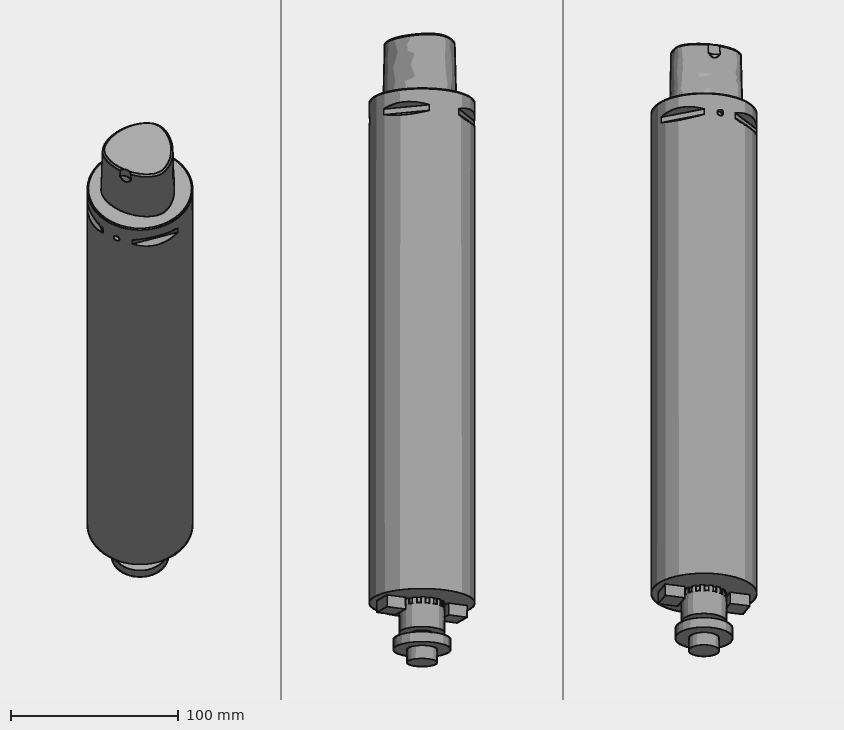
import cadquery as cq
import math

nut_top = 8.0
flange_top = 14.2
neck_top = 18.5
body_bottom = 37.0
body_top = 347.0
total_height = 384.0

nut_diameter = 18.0
flange_diameter = 34.0
neck_diameter = 12.0
boss_diameter = 27.0
body_diameter = 63.0
body_chamfer = 0.8

shank_base_radius = 22.0
shank_lobe_height = 1.4
radius_taper = 1 / 40
shank_chamfer = 1.0

key_span = 53.0
key_clearance = 0.8
key_width = 14.0
key_height = 7.3
notch_count = 16
notch_width = 2.5
notch_depth = 1.0
notch_height = 3.5

groove_height = 335.0
groove_floor_distance = 28.0
groove_floor_width = 3.5
groove_mouth_width = 8.0
index_hole_diameter = 4.0
index_hole_depth = 3.0

pocket_radius = 5.5
pocket_axis_y = -23.5
pocket_wall_bottom = 378.0
pocket_tip_slope = math.radians(60)


def turned_section(bottom, top, diameter):
    return cq.Workplane("XY", origin=(0, 0, bottom)).circle(diameter / 2).extrude(top - bottom)


def lobed_outline(mean_radius):
    """Constant-width curve with three lobes, as a closed parametric function."""
    e = shank_lobe_height

    def point(t):
        angle = 2 * math.pi * t
        across = mean_radius * math.sin(angle) - 2 * e * math.sin(2 * angle) - e * math.sin(4 * angle)
        along = mean_radius * math.cos(angle) + 2 * e * math.cos(2 * angle) - e * math.cos(4 * angle)
        return across, along

    return point


def lobed_frustum(bottom, top, bottom_radius, top_radius):
    return (
        cq.Workplane("XY", origin=(0, 0, bottom))
        .parametricCurve(lobed_outline(bottom_radius))
        .workplane(offset=top - bottom)
        .parametricCurve(lobed_outline(top_radius))
        .loft(combine=True)
    )


def make_shank():
    chamfer_start = total_height - shank_chamfer
    upper_radius = shank_base_radius - radius_taper * (chamfer_start - body_top)
    taper = lobed_frustum(body_top, chamfer_start, shank_base_radius, upper_radius)
    tip = lobed_frustum(chamfer_start, total_height, upper_radius, upper_radius - shank_chamfer)
    return taper.union(tip)


def shank_pocket():
    """Round pocket with a conical floor; its axis lies just outside the shank."""
    tip_height = pocket_wall_bottom - pocket_radius * math.tan(pocket_tip_slope)
    return (
        cq.Workplane("XZ")
        .moveTo(0, tip_height)
        .lineTo(pocket_radius, pocket_wall_bottom)
        .lineTo(pocket_radius, total_height)
        .lineTo(0, total_height)
        .close()
        .revolve(360, (0, 0, 0), (0, 1, 0))
        .translate((0, pocket_axis_y, 0))
    )


def boss_notch(angle):
    return (
        cq.Workplane("XY", origin=(0, 0, body_bottom - notch_height))
        .center(boss_diameter / 2, 0)
        .rect(2 * notch_depth, notch_width)
        .extrude(notch_height)
        .rotate((0, 0, 0), (0, 0, 1), angle)
    )


def drive_key(side):
    inner_end = boss_diameter / 2 + key_clearance
    outer_end = key_span / 2
    return (
        cq.Workplane("XY", origin=(0, 0, body_bottom - key_height))
        .center(side * (inner_end + outer_end) / 2, 0)
        .rect(outer_end - inner_end, key_width)
        .extrude(key_height)
    )


def gripper_groove(angle):
    """Straight groove with a flat floor and flared sides, cut across the body."""
    rim = body_diameter / 2
    return (
        cq.Workplane("XZ")
        .moveTo(groove_floor_distance, groove_height - groove_floor_width / 2)
        .lineTo(rim, groove_height - groove_mouth_width / 2)
        .lineTo(rim, groove_height + groove_mouth_width / 2)
        .lineTo(groove_floor_distance, groove_height + groove_floor_width / 2)
        .close()
        .extrude(rim, both=True)
        .rotate((0, 0, 0), (0, 0, 1), angle)
    )


def index_hole():
    return (
        cq.Workplane("XZ", origin=(0, -body_diameter / 2, groove_height))
        .circle(index_hole_diameter / 2)
        .extrude(-index_hole_depth)
    )


result = turned_section(0, nut_top, nut_diameter)
result = result.union(turned_section(nut_top, flange_top, flange_diameter))
result = result.union(turned_section(flange_top, neck_top, neck_diameter))
boss = turned_section(neck_top, body_bottom, boss_diameter)
notch_pitch = 360 / notch_count
for index in range(notch_count):
    boss = boss.cut(boss_notch((index + 0.5) * notch_pitch))
result = result.union(boss)

body = turned_section(body_bottom, body_top, body_diameter).faces(">Z").edges().chamfer(body_chamfer)
for groove_angle in (45, 135, 225, 315):
    body = body.cut(gripper_groove(groove_angle))
body = body.cut(index_hole())
result = result.union(body)

for side in (-1, 1):
    result = result.union(drive_key(side))

result = result.union(make_shank().cut(shank_pocket()))